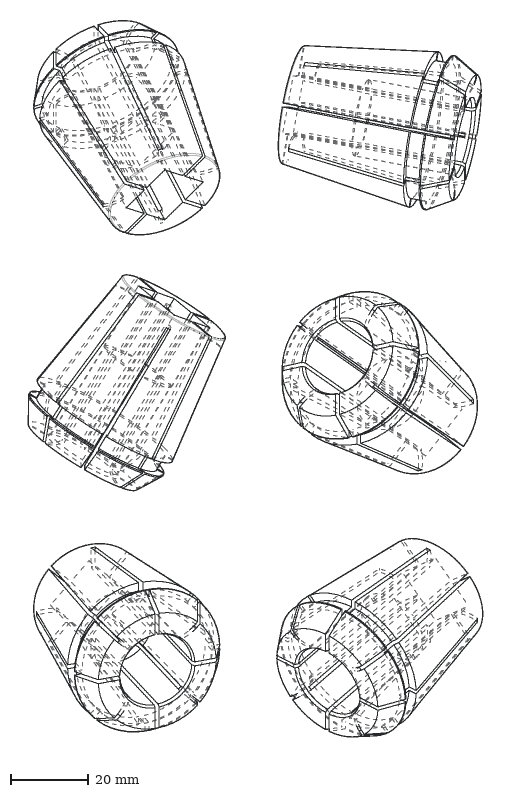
import cadquery as cq
import math

length = 46.0
nose_diameter = 33.05
rim_diameter = 40.65
rim_width = 0.35
neck_diameter = 36.35
neck_start = 7.0
neck_end = 11.1
body_diameter = 41.0
body_angle = 8.0
tail_round = 0.35

bore_diameter = 20.15
bore_mouth_diameter = 21.15
bore_mouth_angle = 30.0
drive_size = 15.25
drive_depth = 18.4

slot_count = 4
slot_step = 360 / slot_count
blade_radius = 10.0
nose_slot_width = 1.15
nose_slot_depth = 43.35
nose_blade_height = 13.5
tail_slot_width = 1.0
tail_blade_height = 16.1
tail_slot_depth = 46.05
clearance = 4.6


def turned_body():
    """Solid of revolution: nose cone, rim, neck groove and long tapered body."""
    rim_radius = rim_diameter / 2
    neck_radius = neck_diameter / 2
    body_radius = body_diameter / 2
    tail_radius = body_radius - (length - neck_end) * math.tan(math.radians(body_angle))
    profile = (
        cq.Workplane("XY")
        .lineTo(0, nose_diameter / 2)
        .lineTo(neck_start - rim_width, rim_radius)
        .lineTo(neck_start, rim_radius)
        .lineTo(neck_start, neck_radius)
        .lineTo(neck_end, neck_radius)
        .lineTo(neck_end, body_radius)
        .lineTo(length, tail_radius)
        .lineTo(length, 0)
        .close()
    )
    body = profile.revolve(360, (0, 0, 0), (1, 0, 0))
    return body.faces(">X").edges().fillet(tail_round)


def bore():
    """Round shank bore with a chamfered mouth, followed by the square drive socket."""
    radius = bore_diameter / 2
    mouth_radius = bore_mouth_diameter / 2
    mouth_depth = (mouth_radius - radius) / math.tan(math.radians(bore_mouth_angle))
    round_bore = (
        cq.Workplane("XY")
        .lineTo(0, mouth_radius)
        .lineTo(mouth_depth, radius)
        .lineTo(length - drive_depth, radius)
        .lineTo(length - drive_depth, 0)
        .close()
        .revolve(360, (0, 0, 0), (1, 0, 0))
    )
    drive = (
        cq.Workplane("YZ", origin=(length - drive_depth, 0, 0))
        .rect(drive_size, drive_size)
        .extrude(drive_depth)
        .rotate((0, 0, 0), (1, 0, 0), slot_step / 2)
    )
    return round_bore.union(drive)


def saw_slot(open_end, closed_end, blade_height, width):
    """Radial slot toward +Z from the axis, ending at closed_end with the blade's radius."""
    direction = math.copysign(1, closed_end - open_end)
    blade_center = closed_end - direction * blade_radius
    blade = (
        cq.Workplane("XZ", origin=(blade_center, 0, blade_height))
        .circle(blade_radius)
        .extrude(width / 2, both=True)
    )
    start = open_end - direction * clearance
    top = blade_height + blade_radius
    path = (
        cq.Workplane("XZ")
        .moveTo(start, 0)
        .lineTo(blade_center, 0)
        .lineTo(blade_center, top)
        .lineTo(start, top)
        .close()
        .extrude(width / 2, both=True)
    )
    return path.union(blade)


nose_slot = saw_slot(0, nose_slot_depth, nose_blade_height, nose_slot_width)
tail_slot = saw_slot(length, length - tail_slot_depth, tail_blade_height, tail_slot_width)

result = turned_body().cut(bore())
for index in range(slot_count):
    angle = index * slot_step
    result = result.cut(nose_slot.rotate((0, 0, 0), (1, 0, 0), angle))
    result = result.cut(tail_slot.rotate((0, 0, 0), (1, 0, 0), angle + slot_step / 2))